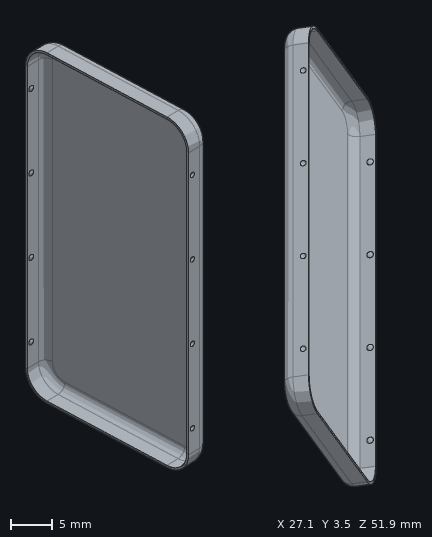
import cadquery as cq
import math

width = 27.1
depth = 3.5
height = 51.9

wall = 0.3
corner_radius = 3.6
back_edge_radius = 1.5

bump_count = 4
bump_pitch = 12.5
bump_radius = 0.4
dimple_radius = 0.35
bump_rise = 0.15
bump_from_rim = 0.7

outer_side = width / 2
inner_side = outer_side - wall


def rounded_block(inset):
    """Tray envelope with its back and sides offset inward by inset."""
    block = cq.Workplane("XY").box(
        width - 2 * inset, depth - inset, height - 2 * inset, centered=(True, False, True)
    )
    block = block.edges("|Y").fillet(corner_radius - inset)
    return block.faces(">Y").edges().fillet(back_edge_radius - inset)


def dome(base_radius):
    """Spherical cap rising toward +X from a round base on the plane X = 0."""
    sphere_radius = (base_radius**2 + bump_rise**2) / (2 * bump_rise)
    centre_x = bump_rise - sphere_radius
    half_angle = math.asin(base_radius / sphere_radius) / 2
    arc_middle = (
        centre_x + sphere_radius * math.cos(half_angle),
        sphere_radius * math.sin(half_angle),
    )
    return (
        cq.Workplane("XY")
        .lineTo(0, base_radius)
        .threePointArc(arc_middle, (bump_rise, 0))
        .close()
        .revolve(360, (0, 0), (1, 0))
    )


def side_domes(base_radius, side_x):
    """Domes in a row on each of the planes X = -side_x and X = +side_x, all rising inward."""
    first_z = -bump_pitch * (bump_count - 1) / 2
    cap = dome(base_radius)
    domes = []
    for i in range(bump_count):
        left = cap.translate((-side_x, bump_from_rim, first_z + i * bump_pitch))
        domes += [left, left.mirror("YZ")]
    return domes


tray = rounded_block(0).cut(rounded_block(wall))

for bump in side_domes(bump_radius, inner_side):
    tray = tray.union(bump)
for dimple in side_domes(dimple_radius, outer_side):
    tray = tray.cut(dimple)

result = tray